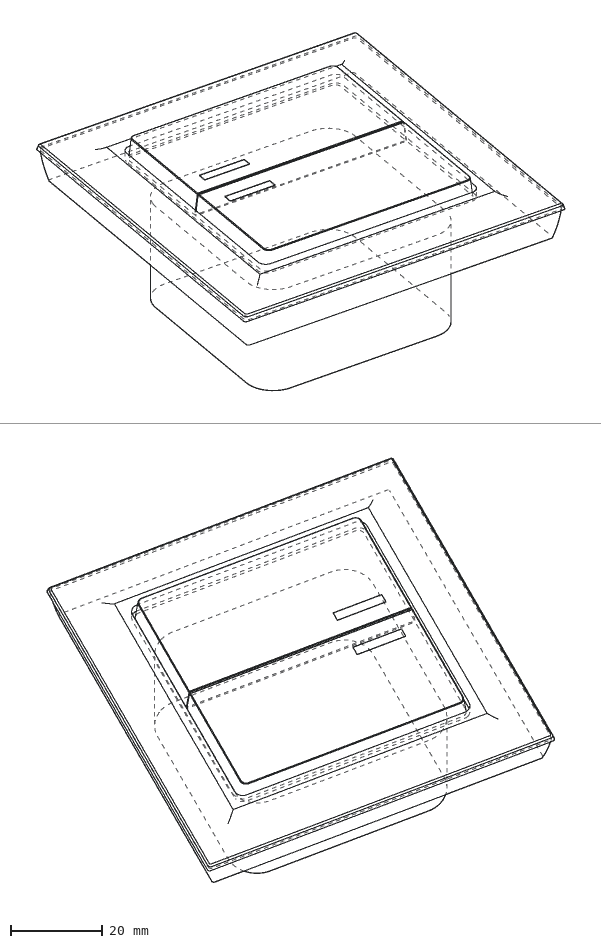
import cadquery as cq

total_height = 39.8
skirt_bottom = 26.4
lip_bottom = 34.2
lip_shoulder = 35.2
frame_top = 35.7
plateau_top = 36.75
recess_floor = 34.5

box_width = 50.5
box_depth = 52.3
box_corner = 7.0

frame_half = 42.05
lip_shoulder_half = 41.8
frame_top_half = 41.4
skirt_top_half = 41.55
skirt_bottom_half = 40.1
skirt_bulge = 0.2
frame_corner = 0.6

ramp_foot_half = 33.6
plateau_half = 30.8
ramp_sag = 0.25

recess_half = 28.4
recess_corner = 2.0

rocker_half_width = 27.75
rocker_foot_half = 27.7
rocker_top_half = 27.0
rocker_gap = 0.3
rocker_corner = 1.4
rocker_edge_break = 0.2

window_width = 2.2
window_length = 11.8
window_offset = 5.1
window_y = -16.65
window_depth = 0.1


def mitred_square(profile):
    """Square solid whose four sides all follow a profile, meeting at mitred corners."""
    length = 2 * frame_half
    along_y = profile.extrude(length, both=True)
    along_x = along_y.rotate((0, 0, 0), (0, 0, 1), 90)
    return along_y.intersect(along_x)


def make_frame_slab():
    """Lip over a bulging skirt, with the corners rounded."""
    bulge_point = (
        (skirt_top_half + skirt_bottom_half) / 2 + skirt_bulge,
        (lip_bottom + skirt_bottom) / 2,
    )
    profile = (
        cq.Workplane("XZ")
        .moveTo(-skirt_bottom_half, skirt_bottom)
        .lineTo(skirt_bottom_half, skirt_bottom)
        .threePointArc(bulge_point, (skirt_top_half, lip_bottom))
        .lineTo(frame_half, lip_bottom)
        .lineTo(lip_shoulder_half, lip_shoulder)
        .lineTo(frame_top_half, frame_top)
        .lineTo(-frame_top_half, frame_top)
        .lineTo(-lip_shoulder_half, lip_shoulder)
        .lineTo(-frame_half, lip_bottom)
        .lineTo(-skirt_top_half, lip_bottom)
        .threePointArc((-bulge_point[0], bulge_point[1]), (-skirt_bottom_half, skirt_bottom))
        .close()
    )
    slab = mitred_square(profile)
    corner_edges = slab.edges("not(#Z)")
    return corner_edges.fillet(frame_corner)


def make_plateau():
    """Raised middle of the frame with a concave ramp on all four sides."""
    ramp_point = (
        (ramp_foot_half + plateau_half) / 2,
        (frame_top + plateau_top) / 2 - ramp_sag,
    )
    profile = (
        cq.Workplane("XZ")
        .moveTo(-ramp_foot_half, frame_top)
        .lineTo(ramp_foot_half, frame_top)
        .threePointArc(ramp_point, (plateau_half, plateau_top))
        .lineTo(-plateau_half, plateau_top)
        .threePointArc((-ramp_point[0], ramp_point[1]), (-ramp_foot_half, frame_top))
        .close()
    )
    return mitred_square(profile)


def make_housing():
    """Frame and wall box in one piece, recessed for the rockers."""
    wall_box = (
        cq.Workplane("XY")
        .rect(box_width, box_depth)
        .extrude(skirt_bottom)
        .edges("|Z")
        .fillet(box_corner)
    )
    recess = (
        cq.Workplane("XY", origin=(0, 0, recess_floor))
        .rect(2 * recess_half, 2 * recess_half)
        .extrude(plateau_top - recess_floor)
        .edges("|Z")
        .fillet(recess_corner)
    )
    return make_frame_slab().union(wall_box).union(make_plateau()).cut(recess)


def make_rocker(side):
    """One rocker on the recess floor; side is -1 for the left one and 1 for the right."""
    inner_x = side * rocker_gap / 2
    outer_x = side * rocker_half_width
    rocker = (
        cq.Workplane("YZ", origin=(inner_x, 0, 0))
        .moveTo(-rocker_foot_half, recess_floor)
        .lineTo(rocker_foot_half, recess_floor)
        .lineTo(rocker_top_half, total_height)
        .lineTo(-rocker_top_half, total_height)
        .close()
        .extrude(outer_x - inner_x)
    )
    outer_face = ">X" if side > 0 else "<X"
    rocker = rocker.faces(outer_face).edges("not(|Y)").fillet(rocker_corner)
    rocker = rocker.faces(">Z").chamfer(rocker_edge_break)
    window = cq.Workplane("XY").box(
        window_width, window_length, window_depth, centered=(True, True, False)
    ).translate((side * window_offset, window_y, total_height - window_depth))
    return rocker.cut(window)


housing = make_housing()
rockers = [make_rocker(side).val() for side in (-1, 1)]

result = cq.Compound.makeCompound([housing.val(), *rockers])